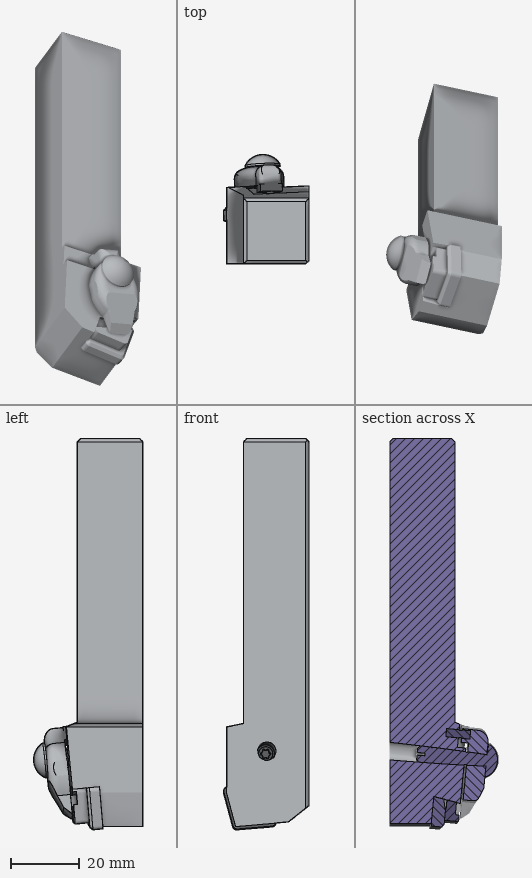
import cadquery as cq
import math

SHANK_WIDTH = 19.1
SHANK_DEPTH = 19.1
SHANK_CHAMFER = 1.0
TOP_Z = 113.7

HEAD_LEFT_X = -24.0
STEP_TOP_Z = 30.9
STEP_BOTTOM_Z = 29.9
RELIEF_TOP_Z = 10.7
NOSE_Z = 0.9
HEEL_X = -6.0
HEEL_TOP_Z = 7.0
RAMP_TOP_Z = 31.3
RAMP_ANGLE = 22.0
HEAD_DEPTH_LIMIT = 28.4

LEAD_ANGLE = 15.0
END_ANGLE = 5.0

SEAT_ORIGIN = (-12.3, 0.0, 22.9)
SEAT_TURN_Z = 2.5
SEAT_TURN_X = -5.5
HEAD_HEIGHT = 21.9

INSERT_SIDE = 12.7
INSERT_THICKNESS = 3.8
INSERT_LAND = 0.8
CORNER_RADIUS = 1.3
INSERT_TIP_X = -9.0
INSERT_TIP_Z = -21.5
BREAKER_THICKNESS = 4.1
BREAKER_SETBACK = 2.0
POCKET_OVERRUN = 5.7
INSERT_TOP = HEAD_HEIGHT - BREAKER_THICKNESS
INSERT_BOTTOM = INSERT_TOP - INSERT_THICKNESS

CLAMP_TURN = 15.0
CLAMP_BOTTOM = HEAD_HEIGHT + 0.6
CLAMP_TOP = 28.3
CLAMP_EDGE_ROUND = 2.7
CLAMP_CORNER_ROUND = 1.1
TAIL_Z = 8.8
TAIL_HALF_WIDTH = 3.3
BELLY_Z = -2.3
BELLY_HALF_WIDTH = 6.8
NOSE_TIP_Z = -17.6
NOSE_HALF_WIDTH = 3.2
NECK_HALF_WIDTH = 4.3
NECK_Z = -12.0
TAIL_ROOT_Z = 4.0
CLAMP_TAIL_ROUND = 3.4
NOSE_SLOPE_START_Z = -7.3
NOSE_SLOPE_END_Z = -15.5
NOSE_SLOPE_END_HEIGHT = 24.9

FOOT_BOTTOM = 20.4
FOOT_START_Z = 4.8
TRENCH_FLOOR = 19.5
TRENCH_LEFT_X = -3.0
TRENCH_END_Z = 3.1
TRENCH_LENGTH = 13.6
KEY_BOTTOM = HEAD_HEIGHT - 1.1
KEY_LOW_Z = -15.5
KEY_LENGTH = 3.4
GROOVE_LENGTH = 34.1

SCREW_DIAMETER = 5.2
SCREW_END = 8.0
SCREW_END_CHAMFER = 0.6
SCREW_HEAD_RADIUS = 5.1
SCREW_HEAD_COLLAR = 0.6
SCREW_HEAD_TOP = 32.0
SOCKET_CORE_RADIUS = 1.1
SOCKET_LOBE_RADIUS = 0.3
SOCKET_LOBES = 6
SOCKET_DEPTH = 2.3

PIN_DIAMETER = 2.3
PIN_Z = 7.2
PIN_BOTTOM = 15.9
PIN_TOP = 22.7


def place(shape):
    """Move a shape from the seat frame to its place in the tool."""
    turned = shape.rotate((0, 0, 0), (0, 0, 1), SEAT_TURN_Z)
    return turned.rotate((0, 0, 0), (1, 0, 0), SEAT_TURN_X).translate(SEAT_ORIGIN)


def clamp_turned(shape):
    """Turn a shape about the screw axis to the direction of the clamp."""
    return shape.rotate((0, 0, 0), (0, 1, 0), CLAMP_TURN)


def level(height):
    """XZ workplane at a height along Y; extruding by a negative length goes toward +Y."""
    return cq.Workplane("XZ", origin=(0, height, 0))


def box_between(x, y, z):
    """Box from the low and high limit on each axis."""
    return cq.Workplane("XY").box(
        x[1] - x[0], y[1] - y[0], z[1] - z[0], centered=False
    ).translate((x[0], y[0], z[0]))


def along(start, angle, length):
    """Point at a length from the start, in a direction measured from +X in the XZ plane."""
    direction = math.radians(angle)
    return (start[0] + length * math.cos(direction), start[1] + length * math.sin(direction))


SIDE_DIRECTION = 90 + LEAD_ANGLE
TIP = (INSERT_TIP_X, INSERT_TIP_Z)
INNER_CORNER = along(along(TIP, SIDE_DIRECTION, INSERT_SIDE), END_ANGLE, INSERT_SIDE)


def rhombus(side, bottom, top):
    """Rhombic plate with rounded corners that fits into the inner corner of the pocket."""
    upper_left = along(INNER_CORNER, END_ANGLE, -side)
    lower_right = along(INNER_CORNER, SIDE_DIRECTION, -side)
    tip = along(upper_left, SIDE_DIRECTION, -side)
    plate = level(bottom).polyline([INNER_CORNER, upper_left, tip, lower_right]).close()
    return plate.extrude(bottom - top).edges("|Y").fillet(CORNER_RADIUS)


def shaft(diameter, bottom, top):
    """Cylinder about the screw axis."""
    return level(bottom).circle(diameter / 2).extrude(bottom - top)


def pin_shape():
    """Guide pin, used for the pin itself and for its holes."""
    return clamp_turned(shaft(PIN_DIAMETER, PIN_BOTTOM, PIN_TOP).translate((0, 0, PIN_Z)))


def make_shank():
    """Shank bar with a chamfered top end."""
    shank = box_between((-SHANK_WIDTH, 0), (0, SHANK_DEPTH), (RELIEF_TOP_Z, TOP_Z))
    return shank.faces(">Z").edges().chamfer(SHANK_CHAMFER)


def make_head():
    """Head outline in XZ, cut to the ramp and to the tilted clamping face."""
    relief = (RELIEF_TOP_Z - NOSE_Z) * math.tan(math.radians(LEAD_ANGLE))
    nose_x = HEAD_LEFT_X + relief
    heel_z = NOSE_Z + (HEEL_X - nose_x) * math.tan(math.radians(END_ANGLE))
    outline = [
        (HEAD_LEFT_X, RELIEF_TOP_Z),
        (nose_x, NOSE_Z),
        (HEEL_X, heel_z),
        (0, HEEL_TOP_Z),
        (0, RAMP_TOP_Z),
        (-SHANK_WIDTH, RAMP_TOP_Z),
        (-SHANK_WIDTH, STEP_TOP_Z),
        (HEAD_LEFT_X, STEP_BOTTOM_Z),
    ]
    head = level(0).polyline(outline).close().extrude(-HEAD_DEPTH_LIMIT)

    ramp_drop = (HEAD_DEPTH_LIMIT - SHANK_DEPTH) * math.tan(math.radians(RAMP_ANGLE))
    ramp_waste = (
        cq.Workplane("YZ")
        .polyline([
            (SHANK_DEPTH, RAMP_TOP_Z),
            (HEAD_DEPTH_LIMIT, RAMP_TOP_Z),
            (HEAD_DEPTH_LIMIT, RAMP_TOP_Z - ramp_drop),
        ])
        .close()
        .extrude(HEAD_LEFT_X)
    )
    span = 2 * HEAD_DEPTH_LIMIT
    face_waste = box_between((-span, span), (HEAD_HEIGHT, span), (-span, span))
    return head.cut(ramp_waste).cut(place(face_waste))


def make_pocket():
    """Open pocket for the insert and breaker."""
    side = INSERT_SIDE + POCKET_OVERRUN
    return rhombus(side, INSERT_BOTTOM, HEAD_DEPTH_LIMIT)


def make_trench():
    """Trench for the clamp's foot, with a 45 degree left wall, open to the ramp and the +X side."""
    wall_height = HEAD_DEPTH_LIMIT - TRENCH_FLOOR
    right_x = TRENCH_LEFT_X + SHANK_WIDTH
    return (
        cq.Workplane("XY", origin=(0, 0, TRENCH_END_Z))
        .polyline([
            (TRENCH_LEFT_X, TRENCH_FLOOR),
            (TRENCH_LEFT_X - wall_height, HEAD_DEPTH_LIMIT),
            (right_x, HEAD_DEPTH_LIMIT),
            (right_x, TRENCH_FLOOR),
        ])
        .close()
        .extrude(TRENCH_LENGTH)
    )


def make_holder():
    """Shank and head in one piece, with the recesses for all other bodies."""
    holder = make_shank().union(make_head())
    edge_waste = (
        cq.Workplane("XY")
        .polyline([(0, 0), (-SHANK_CHAMFER, 0), (0, SHANK_CHAMFER)])
        .close()
        .extrude(TOP_Z)
    )
    holder = holder.cut(edge_waste)
    screw_hole = shaft(SCREW_DIAMETER, -SCREW_DIAMETER, HEAD_DEPTH_LIMIT)
    for waste in (make_pocket(), make_trench(), screw_hole, pin_shape()):
        holder = holder.cut(place(waste))
    return holder


def make_insert():
    """Insert with a narrow chamfered land around its top face."""
    insert = rhombus(INSERT_SIDE, INSERT_BOTTOM, INSERT_TOP)
    return place(insert.faces(">Y").edges().chamfer(INSERT_LAND))


def make_breaker():
    """Chip breaker plate, set back from the cutting edges, with a groove for the clamp's key."""
    breaker = rhombus(INSERT_SIDE - BREAKER_SETBACK, INSERT_TOP, HEAD_HEIGHT)
    groove = box_between(
        (-GROOVE_LENGTH / 2, GROOVE_LENGTH / 2),
        (KEY_BOTTOM, HEAD_HEIGHT),
        (KEY_LOW_Z, KEY_LOW_Z + KEY_LENGTH),
    )
    return place(breaker.cut(clamp_turned(groove)))


def clamp_outline(height):
    """Clamp outline: straight tail, round belly and narrow nose."""
    return (
        level(height)
        .moveTo(-TAIL_HALF_WIDTH, TAIL_Z)
        .lineTo(TAIL_HALF_WIDTH, TAIL_Z)
        .lineTo(TAIL_HALF_WIDTH, TAIL_ROOT_Z)
        .threePointArc((BELLY_HALF_WIDTH, BELLY_Z), (NECK_HALF_WIDTH, NECK_Z))
        .lineTo(NOSE_HALF_WIDTH, NOSE_TIP_Z)
        .lineTo(-NOSE_HALF_WIDTH, NOSE_TIP_Z)
        .lineTo(-NECK_HALF_WIDTH, NECK_Z)
        .threePointArc((-BELLY_HALF_WIDTH, BELLY_Z), (-TAIL_HALF_WIDTH, TAIL_ROOT_Z))
        .close()
    )


def clamp_side_profile():
    """Profile along the clamp, with a rounded tail and a nose that slopes down."""
    return (
        cq.Workplane("YZ")
        .moveTo(CLAMP_BOTTOM, TAIL_Z)
        .lineTo(CLAMP_TOP - CLAMP_TAIL_ROUND, TAIL_Z)
        .radiusArc((CLAMP_TOP, TAIL_Z - CLAMP_TAIL_ROUND), CLAMP_TAIL_ROUND)
        .lineTo(CLAMP_TOP, NOSE_SLOPE_START_Z)
        .lineTo(NOSE_SLOPE_END_HEIGHT, NOSE_SLOPE_END_Z)
        .lineTo(CLAMP_BOTTOM, NOSE_TIP_Z)
        .close()
        .extrude(BELLY_HALF_WIDTH, both=True)
    )


def make_clamp():
    """Rounded clamp with a foot under its tail and a key under its nose."""
    clamp = clamp_outline(CLAMP_BOTTOM).extrude(CLAMP_BOTTOM - CLAMP_TOP)
    clamp = clamp.faces(">Z or <Z").edges("|Y").fillet(CLAMP_CORNER_ROUND)
    clamp = clamp.faces(">Y").edges().fillet(CLAMP_EDGE_ROUND)
    clamp = clamp.intersect(clamp_side_profile())
    foot = box_between(
        (-TAIL_HALF_WIDTH, TAIL_HALF_WIDTH), (FOOT_BOTTOM, CLAMP_BOTTOM), (FOOT_START_Z, TAIL_Z)
    )
    key = box_between(
        (-NOSE_HALF_WIDTH, NOSE_HALF_WIDTH), (KEY_BOTTOM, CLAMP_BOTTOM), (KEY_LOW_Z, KEY_LOW_Z + KEY_LENGTH)
    )
    clamp = clamp_turned(clamp.union(foot).union(key))
    screw_hole = shaft(SCREW_DIAMETER, FOOT_BOTTOM, SCREW_HEAD_TOP)
    return place(clamp.cut(screw_hole).cut(pin_shape()))


def make_screw():
    """Headed screw with a domed top and a six-lobed socket in its lower end."""
    radius = SCREW_DIAMETER / 2
    dome_start = CLAMP_TOP + SCREW_HEAD_COLLAR
    dome_rise = SCREW_HEAD_TOP - dome_start
    dome_radius = (SCREW_HEAD_RADIUS ** 2 + dome_rise ** 2) / (2 * dome_rise)
    screw = (
        cq.Workplane("XY")
        .moveTo(0, SCREW_END)
        .lineTo(radius - SCREW_END_CHAMFER, SCREW_END)
        .lineTo(radius, SCREW_END + SCREW_END_CHAMFER)
        .lineTo(radius, CLAMP_TOP)
        .lineTo(SCREW_HEAD_RADIUS, CLAMP_TOP)
        .lineTo(SCREW_HEAD_RADIUS, dome_start)
        .radiusArc((0, SCREW_HEAD_TOP), -dome_radius)
        .close()
        .revolve(360, (0, 0, 0), (0, 1, 0))
    )
    socket = shaft(2 * SOCKET_CORE_RADIUS, SCREW_END, SCREW_END + SOCKET_DEPTH)
    lobes = (
        level(SCREW_END)
        .polarArray(SOCKET_CORE_RADIUS, 0, 360, SOCKET_LOBES)
        .circle(SOCKET_LOBE_RADIUS)
        .extrude(-SOCKET_DEPTH)
    )
    return place(screw.cut(socket).cut(lobes))


holder = make_holder()
insert = make_insert()
breaker = make_breaker()
clamp = make_clamp()
screw = make_screw()
guide_pin = place(pin_shape())

result = cq.Compound.makeCompound([
    holder.solids().val(),
    insert.solids().val(),
    breaker.solids().val(),
    clamp.solids().val(),
    screw.solids().val(),
    guide_pin.solids().val(),
])